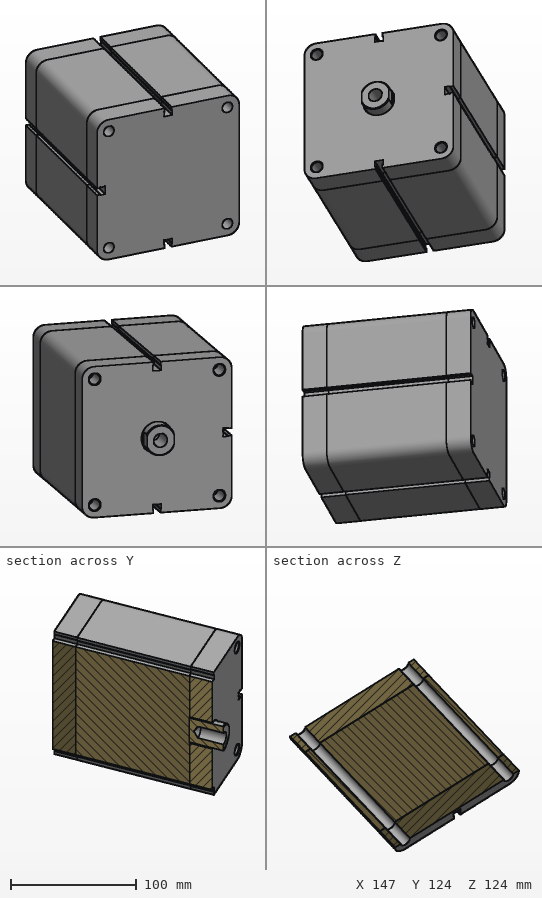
import cadquery as cq
import math

TOTAL_LENGTH = 147.0
CAP_SIDE = 124.0
BARREL_INSET = 0.07
CORNER_RADIUS = 10.0
CAP_LENGTH = 19.8
ROD_PROJECTION = 9.7

BOLT_PITCH = 103.3
BOLT_HOLE_DIAMETER = 9.0
BOLT_HOLE_CHAMFER = 0.6

CAP_SLOT_MOUTH_WIDTH = 6.0
BARREL_SLOT_MOUTH_WIDTH = 5.7
SLOT_FLOOR_WIDTH = 6.9
CAP_SLOT_LIP_DEPTH = 3.1
BARREL_SLOT_LIP_DEPTH = 3.5
SLOT_DEPTH = 7.2
SLOT_ANGLES = (0, 90, 180)

ROD_DIAMETER = 25.0
ROD_CHAMFER = 0.6
ROD_FLATS_WIDTH = 22.3
ROD_FLATS_LENGTH = 8.5
ROD_BORE_DIAMETER = 26.0
ROD_HOLE_DIAMETER = 11.2
ROD_HOLE_DEPTH = 22.0
DRILL_POINT_ANGLE = 118.0

FRONT_CAP_X = ROD_PROJECTION
BARREL_X = FRONT_CAP_X + CAP_LENGTH
REAR_CAP_X = TOTAL_LENGTH - CAP_LENGTH
BARREL_LENGTH = REAR_CAP_X - BARREL_X


def section_plane(x):
    """Plane across the axis at x: local X is +Y, local Y is +Z, extrusion runs toward +X."""
    return cq.Workplane("YZ", origin=(x, 0, 0))


def bolt_centres(x):
    """The four tie-bolt centres in the section at x."""
    return section_plane(x).rect(BOLT_PITCH, BOLT_PITCH, forConstruction=True).vertices()


def sensor_slot(x, length, mouth_width, lip_depth):
    """Undercut slot in the top side: a narrow mouth over a wider floor."""
    floor_z = CAP_SIDE / 2 - SLOT_DEPTH
    floor_height = SLOT_DEPTH - lip_depth
    mouth = (
        section_plane(x)
        .center(0, floor_z + SLOT_DEPTH / 2)
        .rect(mouth_width, SLOT_DEPTH)
        .extrude(length)
    )
    floor = (
        section_plane(x)
        .center(0, floor_z + floor_height / 2)
        .rect(SLOT_FLOOR_WIDTH, floor_height)
        .extrude(length)
    )
    return mouth.union(floor)


def profile_block(x, length, side, corner_radius, mouth_width, lip_depth):
    """Rounded square block with the bolt holes and the sensor slots running through it."""
    block = section_plane(x).rect(side, side).extrude(length)
    block = block.edges("|X").fillet(corner_radius)
    block = block.cut(bolt_centres(x).circle(BOLT_HOLE_DIAMETER / 2).extrude(length))
    slot = sensor_slot(x, length, mouth_width, lip_depth)
    for angle in SLOT_ANGLES:
        block = block.cut(slot.rotate((0, 0, 0), (1, 0, 0), angle))
    return block


def cap_block(x):
    """Plain end cap starting at x."""
    return profile_block(
        x, CAP_LENGTH, CAP_SIDE, CORNER_RADIUS, CAP_SLOT_MOUTH_WIDTH, CAP_SLOT_LIP_DEPTH
    )


def make_barrel():
    """Barrel between the caps, set slightly inside their outline."""
    return profile_block(
        BARREL_X,
        BARREL_LENGTH,
        CAP_SIDE - 2 * BARREL_INSET,
        CORNER_RADIUS - BARREL_INSET,
        BARREL_SLOT_MOUTH_WIDTH,
        BARREL_SLOT_LIP_DEPTH,
    )


def make_front_cap():
    """Front cap with chamfered bolt holes and a clearance bore for the rod."""
    cap = cap_block(FRONT_CAP_X)
    countersinks = (
        bolt_centres(FRONT_CAP_X)
        .circle(BOLT_HOLE_DIAMETER / 2 + BOLT_HOLE_CHAMFER)
        .extrude(BOLT_HOLE_CHAMFER, taper=45)
    )
    bore = section_plane(FRONT_CAP_X).circle(ROD_BORE_DIAMETER / 2).extrude(CAP_LENGTH)
    return cap.cut(countersinks).cut(bore)


def make_rod():
    """Piston rod: chamfered nose with two wrench flats and a drilled hole, ending at the barrel."""
    rod = section_plane(0).circle(ROD_DIAMETER / 2).extrude(BARREL_X)
    rod = rod.faces("<X").chamfer(ROD_CHAMFER)

    across_flats = section_plane(0).rect(ROD_FLATS_WIDTH, ROD_DIAMETER).extrude(ROD_FLATS_LENGTH)
    beyond_flats = section_plane(0).circle(ROD_DIAMETER).extrude(ROD_FLATS_LENGTH).cut(across_flats)

    hole_radius = ROD_HOLE_DIAMETER / 2
    point_length = hole_radius / math.tan(math.radians(DRILL_POINT_ANGLE / 2))
    hole = (
        cq.Workplane("XY")
        .polyline([
            (0, 0),
            (0, hole_radius),
            (ROD_HOLE_DEPTH, hole_radius),
            (ROD_HOLE_DEPTH + point_length, 0),
        ])
        .close()
        .revolve(360, (0, 0, 0), (1, 0, 0))
    )
    return rod.cut(beyond_flats).cut(hole)


front_cap = make_front_cap()
barrel = make_barrel()
rear_cap = cap_block(REAR_CAP_X)
rod = make_rod()

result = cq.Compound.makeCompound([front_cap.val(), barrel.val(), rear_cap.val(), rod.val()])